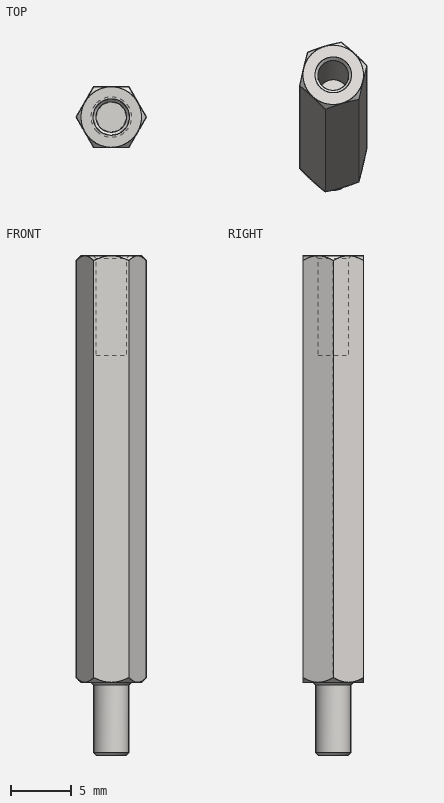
import cadquery as cq
import math

total_length = 41.0
stud_length = 6.0
across_flats = 5.0
stud_diameter = 2.9
stud_chamfer = 0.25
stud_root_flare = 0.2
hole_diameter = 2.5
hole_mouth_diameter = 3.0
hole_depth = 8.2
end_face_diameter = 4.95
end_bevel_angle = 45.0

body_length = total_length - stud_length
across_corners = across_flats / math.cos(math.radians(30))
corner_bevel_width = (across_corners - end_face_diameter) / 2
corner_bevel_height = corner_bevel_width * math.tan(math.radians(end_bevel_angle))
mouth_chamfer = (hole_mouth_diameter - hole_diameter) / 2


def make_hex_body():
    """Hexagonal bar with its corners turned to a cone at both ends."""
    bar = (
        cq.Workplane("XY")
        .workplane(offset=stud_length)
        .polygon(6, across_corners)
        .extrude(body_length)
    )
    turned_envelope = (
        cq.Workplane("XY")
        .workplane(offset=stud_length)
        .circle(across_corners / 2)
        .extrude(body_length)
        .faces("<Z or >Z")
        .edges()
        .chamfer(corner_bevel_height, corner_bevel_width)
    )
    return bar.intersect(turned_envelope)


def make_stud():
    """Round stud below the body, chamfered at its free end and flared at its root."""
    stud = (
        cq.Workplane("XY")
        .circle(stud_diameter / 2)
        .extrude(stud_length)
        .faces("<Z")
        .chamfer(stud_chamfer)
    )
    root_flare = (
        cq.Workplane("XY")
        .workplane(offset=stud_length)
        .circle(stud_diameter / 2 + stud_root_flare)
        .extrude(-stud_root_flare, taper=45)
    )
    return stud.union(root_flare)


def make_hole():
    """Blind hole down from the top face, with a chamfered mouth."""
    hole = (
        cq.Workplane("XY")
        .workplane(offset=total_length)
        .circle(hole_diameter / 2)
        .extrude(-hole_depth)
    )
    mouth = (
        cq.Workplane("XY")
        .workplane(offset=total_length)
        .circle(hole_mouth_diameter / 2)
        .extrude(-mouth_chamfer, taper=45)
    )
    return hole.union(mouth)


result = make_hex_body().union(make_stud()).cut(make_hole())